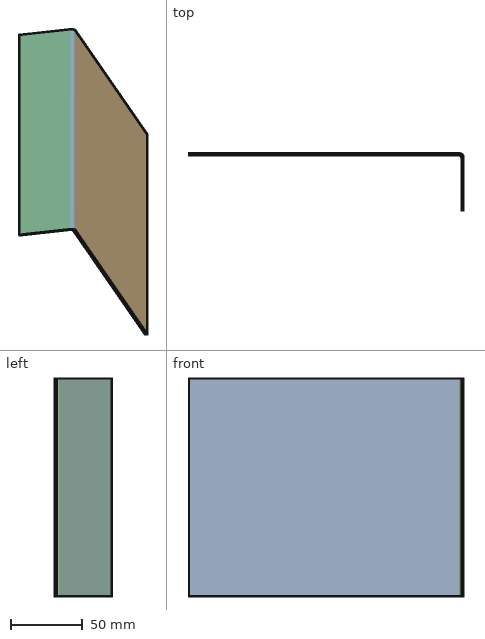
import cadquery as cq

length = 192.0
flange_depth = 40.0
height = 152.4

thickness = 1.5875
inner_bend_radius = thickness
outer_bend_radius = inner_bend_radius + thickness


def rounded_block(size_x, size_y, corner_radius):
    """Full-height block from the origin, its +X +Y vertical edge rounded."""
    block = cq.Workplane("XY").box(size_x, size_y, height, centered=False)
    return block.edges("|Z and >X and >Y").fillet(corner_radius)


def bent_sheet():
    """Flat web along X with one flange bent 90 degrees towards -Y at its +X end."""
    outside = rounded_block(length, flange_depth, outer_bend_radius)
    inside = rounded_block(length - thickness, flange_depth - thickness, inner_bend_radius)
    return outside.cut(inside)


result = bent_sheet()